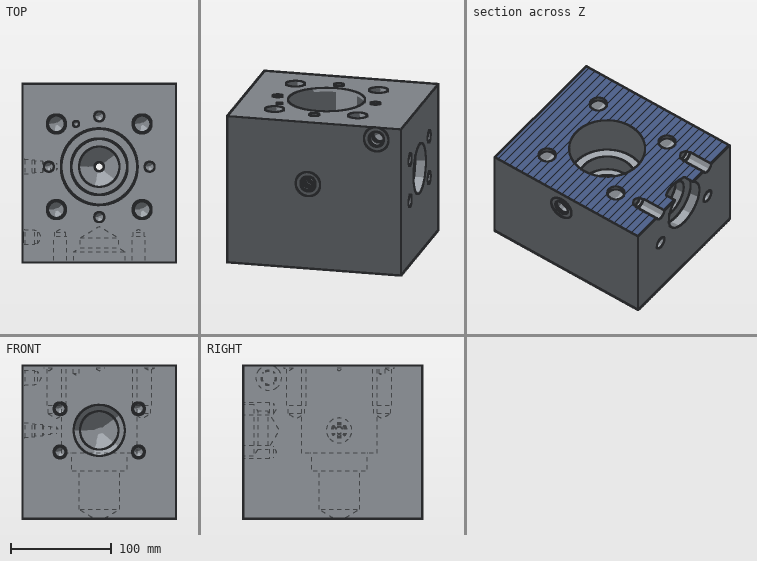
import cadquery as cq
import math

WIDTH = 152.4
LENGTH = 177.8
HEIGHT = 152.4

DRILL_HALF_ANGLE = math.radians(59)

CAVITY_Y = 6.35
UPPER_BORE_DIA = 75
UPPER_BORE_DEPTH = 87
LOWER_BORE_DIA = 55
LOWER_BORE_DEPTH = 105
OUTLET_DIA = 40
BREAKOUT_DIA = 8.8
LEAD_IN_WIDTH = 0.75
LEAD_IN_DEPTH = 4

COVER_BOLT_SPACING = 85
COVER_BOLT_THREAD_DIA = 19.05
COVER_BOLT_THREAD_DEPTH = 40
COVER_BOLT_DRILL_DIA = 16.66
COVER_BOLT_DRILL_DEPTH = 48
PILOT_RADIUS = 50
PILOT_DIA = 10.01
PILOT_DEPTH = 2.5
LOCATING_PIN_DIA = 5.99
LOCATING_PIN_DEPTH = 8
LOCATING_PIN_X = -23

FLANGE_PORT_Z = 11.7
FLANGE_PORT_DIA = 50.8
FLANGE_PORT_DEPTH = 10.8
FLANGE_DRILL_DIA = 38.1
FLANGE_DRILL_DEPTH = 24.5
FLANGE_BOLT_SPACING_X = 77.77
FLANGE_BOLT_SPACING_Z = 42.88
FLANGE_BOLT_THREAD_DIA = 12.7
FLANGE_BOLT_THREAD_DEPTH = 26
FLANGE_BOLT_DRILL_DIA = 10.72
FLANGE_BOLT_DRILL_DEPTH = 30

SPOTFACE_DIA = 25.02
SPOTFACE_DEPTH = 0.5
PORT_MOUTH_DIA = 15.6
PORT_SEAT_DIA = 14.53
PORT_SEAT_DEPTH = 2.5
PORT_THREAD_DIA = 14.28
PORT_DRILL_DIA = 12.9
CORNER_PORT_THREAD_DEPTH = 12
CORNER_PORT_DRILL_DEPTH = 15
CORNER_PORT_Y = -63.5
CORNER_PORT_TO_TOP = 12.45
PILOT_PORT_THREAD_DEPTH = 9.5
PILOT_PORT_DRILL_DEPTH = 12
PASSAGE_DIA = 11.12
PASSAGE_DEPTH = 20
ORIFICE_THREAD_DIA = 8.05
ORIFICE_THREAD_END_DIA = 8
ORIFICE_THREAD_DEPTH = 28
ORIFICE_DRILL_DIA = 6.25
ORIFICE_DRILL_DEPTH = 34

TOP_FACE = cq.Plane(origin=(0, 0, HEIGHT / 2), xDir=(1, 0, 0), normal=(0, 0, 1))
FRONT_FACE = cq.Plane(origin=(0, -LENGTH / 2, 0), xDir=(1, 0, 0), normal=(0, -1, 0))
LEFT_FACE = cq.Plane(origin=(-WIDTH / 2, 0, 0), xDir=(0, -1, 0), normal=(-1, 0, 0))


def tip_height(large_dia, small_dia=0):
    """Height of a drill-point cone between two diameters."""
    return (large_dia - small_dia) / 2 / math.tan(DRILL_HALF_ANGLE)


def bore(face, u, v, sections):
    """Round cutter below a face, from (diameter, depth) pairs; its last section ends in a drill point."""
    last_dia, last_depth = sections[-1]
    profile = [(0, 0)]
    profile += [(dia / 2, -depth) for dia, depth in sections]
    profile.append((0, -last_depth - tip_height(last_dia)))
    cutter = cq.Workplane("XZ").polyline(profile).close().revolve(360, (0, 0), (0, 1)).val()
    return cutter.moved(cq.Location(face)).moved(cq.Location(face.toWorldCoords((u, v)) - face.origin))


def tapped_hole(face, u, v, thread_dia, thread_depth, drill_dia, drill_depth):
    """Thread cylinder followed by the longer tap drill."""
    sections = [
        (thread_dia, 0),
        (thread_dia, thread_depth),
        (drill_dia, thread_depth),
        (drill_dia, drill_depth),
    ]
    return bore(face, u, v, sections)


def plain_hole(face, u, v, dia, depth):
    """Drilled blind hole."""
    return bore(face, u, v, [(dia, 0), (dia, depth)])


def cartridge_cavity():
    """Two chamfered bores and an outlet drill whose point breaks out of the bottom face."""
    outlet_depth = HEIGHT - tip_height(OUTLET_DIA, BREAKOUT_DIA)
    sections = [
        (UPPER_BORE_DIA + 2 * LEAD_IN_WIDTH, 0),
        (UPPER_BORE_DIA, LEAD_IN_DEPTH),
        (UPPER_BORE_DIA, UPPER_BORE_DEPTH),
        (LOWER_BORE_DIA + 2 * LEAD_IN_WIDTH, UPPER_BORE_DEPTH),
        (LOWER_BORE_DIA, UPPER_BORE_DEPTH + LEAD_IN_DEPTH),
        (LOWER_BORE_DIA, LOWER_BORE_DEPTH),
        (OUTLET_DIA, LOWER_BORE_DEPTH),
        (OUTLET_DIA, outlet_depth),
    ]
    return bore(TOP_FACE, 0, CAVITY_Y, sections)


def cover_pattern():
    """Four bolt holes, four shallow pilot holes and the locating pin hole of the cover."""
    half = COVER_BOLT_SPACING / 2
    holes = []
    for side_x in (-1, 1):
        for side_y in (-1, 1):
            holes.append(tapped_hole(
                TOP_FACE, side_x * half, CAVITY_Y + side_y * half,
                COVER_BOLT_THREAD_DIA, COVER_BOLT_THREAD_DEPTH,
                COVER_BOLT_DRILL_DIA, COVER_BOLT_DRILL_DEPTH,
            ))
    for step_x, step_y in ((1, 0), (0, 1), (-1, 0), (0, -1)):
        x = step_x * PILOT_RADIUS
        y = CAVITY_Y + step_y * PILOT_RADIUS
        holes.append(plain_hole(TOP_FACE, x, y, PILOT_DIA, PILOT_DEPTH))
    pin_y = CAVITY_Y + half
    holes.append(plain_hole(TOP_FACE, LOCATING_PIN_X, pin_y, LOCATING_PIN_DIA, LOCATING_PIN_DEPTH))
    return holes


def flange_port():
    """Blind stepped port with its four flange bolt holes."""
    sections = [
        (FLANGE_PORT_DIA, 0),
        (FLANGE_PORT_DIA, FLANGE_PORT_DEPTH),
        (FLANGE_DRILL_DIA, FLANGE_PORT_DEPTH + tip_height(FLANGE_PORT_DIA, FLANGE_DRILL_DIA)),
        (FLANGE_DRILL_DIA, FLANGE_DRILL_DEPTH),
    ]
    holes = [bore(FRONT_FACE, 0, FLANGE_PORT_Z, sections)]
    for side_x in (-1, 1):
        for side_z in (-1, 1):
            holes.append(tapped_hole(
                FRONT_FACE,
                side_x * FLANGE_BOLT_SPACING_X / 2,
                FLANGE_PORT_Z + side_z * FLANGE_BOLT_SPACING_Z / 2,
                FLANGE_BOLT_THREAD_DIA, FLANGE_BOLT_THREAD_DEPTH,
                FLANGE_BOLT_DRILL_DIA, FLANGE_BOLT_DRILL_DEPTH,
            ))
    return holes


def threaded_port(thread_depth, drill_depth):
    """Sections of a spotfaced port: tapered seat, thread and tap drill."""
    return [
        (SPOTFACE_DIA, 0),
        (SPOTFACE_DIA, SPOTFACE_DEPTH),
        (PORT_MOUTH_DIA, SPOTFACE_DEPTH),
        (PORT_SEAT_DIA, PORT_SEAT_DEPTH),
        (PORT_THREAD_DIA, PORT_SEAT_DEPTH),
        (PORT_THREAD_DIA, thread_depth),
        (PORT_DRILL_DIA, thread_depth),
        (PORT_DRILL_DIA, drill_depth),
    ]


def corner_port():
    """Blind port near the top front corner of the left face."""
    sections = threaded_port(CORNER_PORT_THREAD_DEPTH, CORNER_PORT_DRILL_DEPTH)
    return bore(LEFT_FACE, -CORNER_PORT_Y, HEIGHT / 2 - CORNER_PORT_TO_TOP, sections)


def pilot_port():
    """Port level with the flange port, narrowing to a threaded orifice."""
    sections = threaded_port(PILOT_PORT_THREAD_DEPTH, PILOT_PORT_DRILL_DEPTH)
    sections += [
        (PASSAGE_DIA, PILOT_PORT_DRILL_DEPTH + tip_height(PORT_DRILL_DIA, PASSAGE_DIA)),
        (PASSAGE_DIA, PASSAGE_DEPTH),
        (ORIFICE_THREAD_DIA, PASSAGE_DEPTH + tip_height(PASSAGE_DIA, ORIFICE_THREAD_DIA)),
        (ORIFICE_THREAD_END_DIA, ORIFICE_THREAD_DEPTH),
        (ORIFICE_DRILL_DIA, ORIFICE_THREAD_DEPTH),
        (ORIFICE_DRILL_DIA, ORIFICE_DRILL_DEPTH),
    ]
    return bore(LEFT_FACE, -CAVITY_Y, FLANGE_PORT_Z, sections)


block = cq.Workplane("XY").box(WIDTH, LENGTH, HEIGHT)
cutters = [cartridge_cavity()] + cover_pattern() + flange_port() + [corner_port(), pilot_port()]
result = cq.Workplane("XY").newObject([block.val().cut(*cutters)])